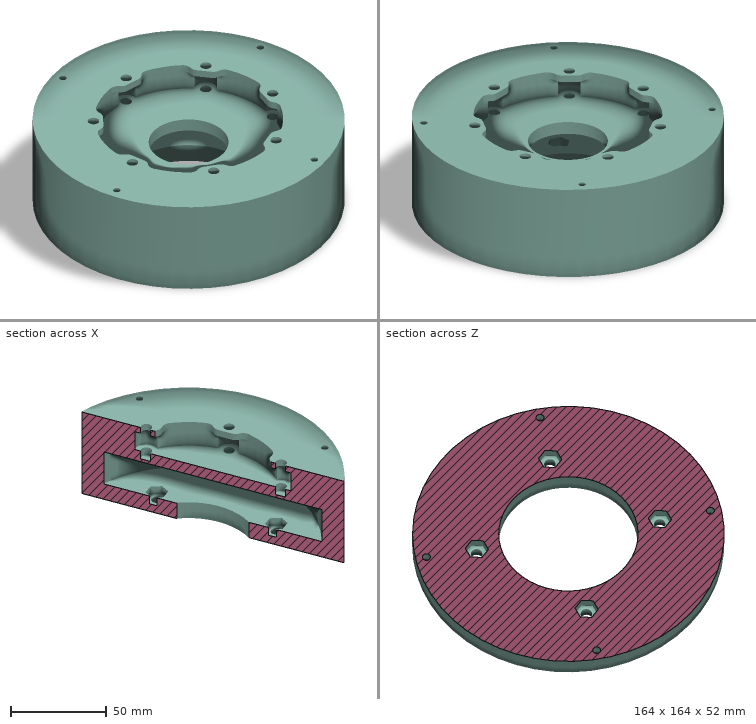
import cadquery as cq
import math

outer_diameter = 164.0
height = 52.0
lid_thickness = 4.0
plate_top_depth = 15.0
plate_thickness = 7.0
base_thickness = 10.0

lid_bottom_z = height - lid_thickness
plate_top_z = height - plate_top_depth
plate_bottom_z = plate_top_z - plate_thickness

cavity_diameter = 140.0
base_bore_diameter = 73.0
plate_bore_diameter = 42.0
recess_radius = 49.7

screw_hole_diameter = 6.0

ear_count = 7
ear_face_distance = 45.0
ear_flat_half_width = 4.0
ear_blend_radius = 5.0
ear_screw_radius = 50.0
ear_screw_depth_in_plate = 5.0
ear_relief_radius = 6.0

diagonal_count = 4
diagonal_angle = 45.0

corner_hole_radius = 76.1
corner_hole_diameter = 4.0

nut_circle_radius = 49.0
nut_corner_diameter = 12.0
nut_pocket_depth = 5.0


def cylinder(diameter, bottom_z, top_z):
    """Cylinder on the main axis between two heights."""
    return cq.Workplane("XY").workplane(offset=bottom_z).circle(diameter / 2).extrude(top_z - bottom_z)


def ring_of_cylinders(count, start_angle, ring_radius, diameter, bottom_z, top_z):
    """Equal cylinders spread evenly around the main axis."""
    return (
        cq.Workplane("XY")
        .workplane(offset=bottom_z)
        .polarArray(ring_radius, start_angle, 360, count)
        .circle(diameter / 2)
        .extrude(top_z - bottom_z)
    )


def polar_point(radius, angle):
    """Point at a radius and an angle in radians."""
    return (radius * math.cos(angle), radius * math.sin(angle))


def turned(point, angle):
    """Point turned about the main axis by an angle in radians."""
    x, y = point
    return (x * math.cos(angle) - y * math.sin(angle), x * math.sin(angle) + y * math.cos(angle))


def mirrored(point):
    """Point reflected across the centreline of the ear at angle zero."""
    return (point[0], -point[1])


def ear_side_points():
    """Points up one side of the ear at angle zero, from its flat face out to the opening circle.

    The side is an outward and an inward arc of equal radius, tangent to the flat face,
    to each other and to the opening circle.
    """
    r = ear_blend_radius
    nose_x, nose_y = ear_face_distance + r, ear_flat_half_width
    nose_distance = math.hypot(nose_x, nose_y)
    root_distance = recess_radius - r
    cos_between = (nose_distance**2 + root_distance**2 - (2 * r) ** 2) / (2 * nose_distance * root_distance)
    root_angle = math.atan2(nose_y, nose_x) + math.acos(cos_between)
    root_x, root_y = polar_point(root_distance, root_angle)

    contact_angle = math.atan2(root_y - nose_y, root_x - nose_x)
    nose_mid_angle = (math.pi + contact_angle) / 2
    root_mid_angle = (contact_angle - math.pi + root_angle) / 2

    def on_nose(angle):
        return (nose_x + r * math.cos(angle), nose_y + r * math.sin(angle))

    def on_root(angle):
        return (root_x + r * math.cos(angle), root_y + r * math.sin(angle))

    flat_end = (ear_face_distance, ear_flat_half_width)
    opening_end = polar_point(recess_radius, root_angle)
    return flat_end, on_nose(nose_mid_angle), on_nose(contact_angle), on_root(root_mid_angle), opening_end


def lid_opening():
    """Round opening through the lid, interrupted by the inward screw ears."""
    flat_end, nose_mid, contact, root_mid, opening_end = ear_side_points()
    pitch = 2 * math.pi / ear_count
    outline = cq.Workplane("XY").workplane(offset=lid_bottom_z).moveTo(*mirrored(opening_end))
    for index in range(ear_count):
        angle = index * pitch
        outline = (
            outline.threePointArc(turned(mirrored(root_mid), angle), turned(mirrored(contact), angle))
            .threePointArc(turned(mirrored(nose_mid), angle), turned(mirrored(flat_end), angle))
            .lineTo(*turned(flat_end, angle))
            .threePointArc(turned(nose_mid, angle), turned(contact, angle))
            .threePointArc(turned(root_mid, angle), turned(opening_end, angle))
            .threePointArc(
                polar_point(recess_radius, angle + pitch / 2),
                turned(mirrored(opening_end), angle + pitch),
            )
        )
    return outline.close().extrude(lid_thickness)


def recess_under_lid():
    """Round recess between lid and plate, widened by a round relief under each ear."""
    reliefs = ring_of_cylinders(
        ear_count, 0, ear_screw_radius, 2 * ear_relief_radius, plate_top_z, lid_bottom_z
    )
    return cylinder(2 * recess_radius, plate_top_z, lid_bottom_z).union(reliefs)


def nut_pockets():
    """Hexagonal pockets sunk into the base, each with two corners along X."""
    return (
        cq.Workplane("XY")
        .workplane(offset=base_thickness - nut_pocket_depth)
        .polarArray(nut_circle_radius, diagonal_angle, 360, diagonal_count, rotate=False)
        .polygon(6, nut_corner_diameter)
        .extrude(nut_pocket_depth)
    )


body = cylinder(outer_diameter, 0, height)

body = body.cut(cylinder(base_bore_diameter, 0, base_thickness))
body = body.cut(cylinder(cavity_diameter, base_thickness, plate_bottom_z))
body = body.cut(cylinder(plate_bore_diameter, plate_bottom_z, plate_top_z))
body = body.cut(recess_under_lid())
body = body.cut(lid_opening())

ear_screw_bottom_z = plate_top_z - ear_screw_depth_in_plate
body = body.cut(
    ring_of_cylinders(ear_count, 0, ear_screw_radius, screw_hole_diameter, ear_screw_bottom_z, height)
)

body = body.cut(
    ring_of_cylinders(diagonal_count, diagonal_angle, corner_hole_radius, corner_hole_diameter, 0, height)
)

body = body.cut(
    ring_of_cylinders(diagonal_count, diagonal_angle, nut_circle_radius, screw_hole_diameter, 0, base_thickness)
)
body = body.cut(nut_pockets())

result = body